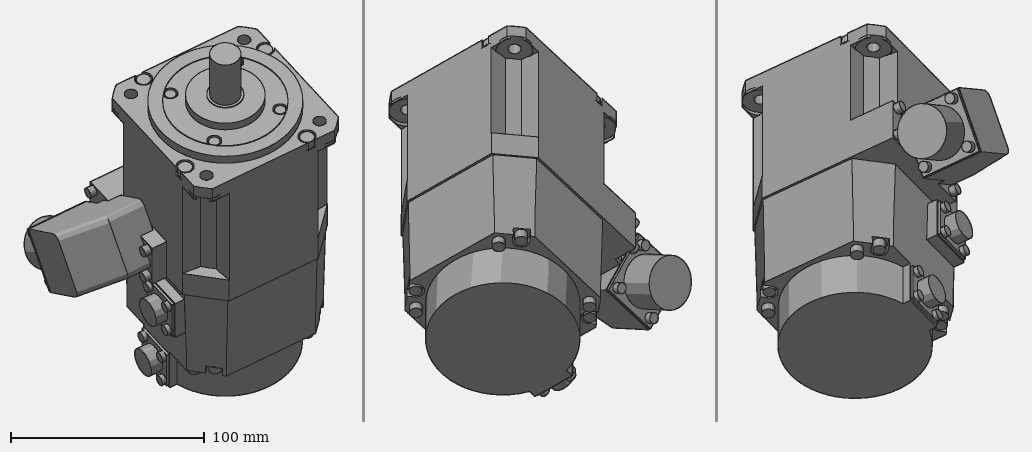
import cadquery as cq
import math

body_side = 89.9
half_side = body_side / 2
overlap = 1.0
clearance = 2.1

cap_top = 26.2
taper_bottom = 38.5
upper_body_bottom = 84.0
pocket_bottom = 99.5
pocket_top = 163.5
flange_top = 173.2
pilot_top = 178.3
boss_top = 182.8
collar_top = 183.2
shaft_top = 213.0

cap_radius = 79.9 / 2
pilot_radius = 40.0
cover_radius = 32.4
boss_radius = 41.1 / 2
collar_radius = 9.5
shaft_radius = 8.0

flange_corner_radius = 58.8
mount_offset = 35.1
mount_hole_radius = 3.5
spotface_radius = 9.5
spotface_height = 2.1

pocket_edge = 27.5
pocket_draft = 1.0
pocket_foot = 36.5
stator_radius = 44.7

lower_half_top = 43.9
lower_half_bottom = 42.5
lower_flat_half = 27.7

block_left = -half_side
block_right = 12.8
block_top = 110.3
block_front = -53.9
block_back = -pocket_edge
block_screw_inset = 3.5
block_screw_rise = 4.3

elbow_tilt = 35.3
elbow_width = 36.0
elbow_v = 88.5
elbow_back = -46.2
elbow_side = -58.0
elbow_front = elbow_side - elbow_width
elbow_start = 22.5
elbow_end = 65.4
bevel_start = -68.0
bevel_drop = 10.2
elbow_round = 4.3
neck_left = -32.5
plate_outer = 20.9
plate_inset = 0.5
plug_radius = 14.3
plug_end = 0.6

small_screw_radius = 5.8 / 2
screw_height = 3.8


def disc(radius, bottom, top, x=0, y=0):
    """Upright cylinder between two heights."""
    return cq.Workplane("XY").workplane(offset=bottom).center(x, y).circle(radius).extrude(top - bottom)


def box(x0, x1, y0, y1, z0, z1):
    """Box between two corners."""
    return cq.Workplane("XY").box(x1 - x0, y1 - y0, z1 - z0, centered=False).translate((x0, y0, z0))


def front_disc(radius, x, z, back, front):
    """Cylinder along Y, reaching from y = back out to y = front."""
    plane = cq.Workplane("XZ", origin=(x, back, z))
    return plane.circle(radius).extrude(back - front)


def around(shape):
    """Four copies of a shape, a quarter turn apart about the motor axis."""
    group = shape
    for turn in (90, 180, 270):
        group = group.union(shape.rotate((0, 0, 0), (0, 0, 1), turn))
    return group


def octagon(half, flat_half):
    """Corners of a square whose corners are cut off."""
    return [
        (flat_half, -half), (half, -flat_half), (half, flat_half), (flat_half, half),
        (-flat_half, half), (-half, flat_half), (-half, -flat_half), (-flat_half, -half),
    ]


def corner_pocket():
    """Corner cut that leaves the round stator standing between two drafted walls."""
    outer = half_side + clearance
    inner = pocket_edge + pocket_draft
    stator_start = math.sqrt(stator_radius**2 - inner**2)
    crest = stator_radius * math.sqrt(0.5)
    return (
        cq.Workplane("XY")
        .workplane(offset=pocket_bottom)
        .moveTo(pocket_edge, half_side)
        .lineTo(inner, pocket_foot)
        .lineTo(inner, stator_start)
        .threePointArc((crest, crest), (stator_start, inner))
        .lineTo(pocket_foot, inner)
        .lineTo(half_side, pocket_edge)
        .lineTo(outer, pocket_edge)
        .lineTo(outer, outer)
        .lineTo(pocket_edge, outer)
        .close()
        .extrude(pocket_top - pocket_bottom)
    )


def upper_body():
    """Square motor body with its mounting flange."""
    body = box(-half_side, half_side, -half_side, half_side, upper_body_bottom, flange_top)
    foot = (
        cq.Workplane("XY").workplane(offset=upper_body_bottom)
        .polyline(octagon(half_side, lower_flat_half)).close()
        .extrude(pocket_bottom - upper_body_bottom)
    )
    rounded = disc(flange_corner_radius, pocket_bottom, flange_top)
    body = body.intersect(rounded.union(foot))
    spotface = disc(spotface_radius, pocket_top, pocket_top + spotface_height, mount_offset, mount_offset)
    hole = disc(mount_hole_radius, pocket_top, flange_top, mount_offset, mount_offset)
    return body.cut(around(corner_pocket().union(spotface).union(hole)))


def flange_screws(body):
    """Sunk screws near the flange edges, their counterbores breaking through the sides."""
    x, y = 23.6, -40.7
    floor = 167.6
    counterbore_radius = 4.7
    head_radius = 3.8
    head_recess = 0.5
    body = body.cut(around(disc(counterbore_radius, floor, flange_top, x, y)))
    head = disc(head_radius, floor - overlap, flange_top - head_recess, x, y)
    return body.union(around(head))


def front_end():
    """Pilot with its recessed cover and screws, seal boss and shaft."""
    recess = 0.5
    cover_top = pilot_top - recess
    screw_place = 20.5
    sink = 2.5
    counterbore_radius = 3.8
    head_radius = 3.0
    end = disc(pilot_radius, flange_top - overlap, pilot_top)
    end = end.cut(disc(cover_radius, cover_top, pilot_top))
    counterbore = disc(counterbore_radius, cover_top - sink, cover_top, screw_place, screw_place)
    counterbore = counterbore.intersect(disc(cover_radius, 0, shaft_top))
    head = disc(head_radius, cover_top - sink - overlap, cover_top - recess, screw_place, screw_place)
    end = end.cut(around(counterbore)).union(around(head))
    end = end.union(disc(boss_radius, flange_top, boss_top))
    end = end.union(disc(collar_radius, flange_top, collar_top))
    return end.union(disc(shaft_radius, flange_top, shaft_top))


def lower_body():
    """Tapered brake housing, straight rim and round encoder cap."""
    rim = (
        cq.Workplane("XY").workplane(offset=cap_top)
        .polyline(octagon(lower_half_bottom, lower_flat_half)).close()
        .extrude(taper_bottom - cap_top)
    )
    taper = (
        cq.Workplane("XY").workplane(offset=taper_bottom)
        .polyline(octagon(lower_half_bottom, lower_flat_half)).close()
        .workplane(offset=upper_body_bottom - taper_bottom)
        .polyline(octagon(lower_half_top, lower_flat_half)).close()
        .loft(ruled=True)
    )
    return rim.union(taper).union(disc(cap_radius, 0, cap_top))


def rim_screws(body):
    """Screws in open notches on the rim corners, and heads hanging below the rim."""
    screw_x, screw_y = -29.6, -35.1
    notch_radius = 4.5
    notch_top = 31.3
    notch_reach = 12.8
    head_radius = 3.5
    slot = box(-notch_reach, 0, -notch_radius, notch_radius, cap_top, notch_top)
    slot = slot.union(disc(notch_radius, cap_top, notch_top))
    slot = slot.rotate((0, 0, 0), (0, 0, 1), 45).translate((screw_x, screw_y, 0))
    body = body.cut(around(slot))
    sunk_drop = 0.2
    sunk = disc(head_radius, cap_top - sunk_drop, notch_top + overlap, screw_x, screw_y)
    body = body.union(around(sunk))
    hanging_x, hanging_y = 26.0, -36.6
    hanging_bottom = 21.7
    hanging = disc(head_radius, hanging_bottom, cap_top + overlap, hanging_x, hanging_y)
    return body.union(around(hanging))


def cable_block():
    """Block that fills the front left corner, with four screws."""
    block = box(block_left, block_right, block_front, block_back, upper_body_bottom, block_top)
    for x in (block_left + block_screw_inset, block_right - block_screw_inset):
        for z in (upper_body_bottom + block_screw_rise, block_top - block_screw_inset):
            head = front_disc(small_screw_radius, x, z, block_front + overlap, block_front - screw_height)
            block = block.union(head)
    return block


def tilted(shape):
    """Turn a shape from the u-v layout (u along X, v along Z) into its place."""
    return shape.rotate((0, 0, 0), (0, 1, 0), -elbow_tilt)


def power_connector():
    """Beveled elbow housing, end plate, plate screws and round plug."""
    v_low = elbow_v - elbow_width / 2
    mid_y = (elbow_side + elbow_front) / 2
    housing = (
        cq.Workplane("XY").workplane(offset=v_low)
        .polyline([
            (elbow_start, elbow_back), (elbow_end, elbow_back), (elbow_end, bevel_start),
            (elbow_end - bevel_drop, elbow_front), (elbow_start, elbow_front),
        ])
        .close()
        .extrude(elbow_width)
    )
    far_end = cq.selectors.BoxSelector(
        (elbow_end - bevel_drop, elbow_front, v_low - clearance),
        (elbow_end + clearance, elbow_back, v_low + elbow_width + clearance),
    )
    housing = housing.edges("#Z").edges(far_end).fillet(elbow_round)
    housing = tilted(housing)

    far = 127.8
    neck_side = box(-far, neck_left, elbow_side, 0, 0, far)
    neck_under = box(-far, far, elbow_side, 0, 0, upper_body_bottom)
    housing = housing.cut(neck_side).cut(neck_under)

    plate_half = elbow_width / 2 - plate_inset
    plate = box(plate_outer, elbow_start + overlap, mid_y - plate_half, mid_y + plate_half,
                elbow_v - plate_half, elbow_v + plate_half)
    outlet = cq.Workplane("YZ", origin=(plug_end, mid_y, elbow_v))
    fittings = plate.union(outlet.circle(plug_radius).extrude(plate_outer + overlap - plug_end))
    screw_pitch = 27.0
    screws = (
        cq.Workplane("YZ", origin=(plate_outer - screw_height, mid_y, elbow_v))
        .rect(screw_pitch, screw_pitch, forConstruction=True)
        .vertices()
        .circle(small_screw_radius)
        .extrude(screw_height + overlap)
    )
    return housing.union(tilted(fittings.union(screws)))


def signal_connector(x, z, seat, plate_width, plate_height):
    """Thin plate with four screws and a round plug, facing -Y on a pad whose face is y = seat."""
    plate_thickness = 1.5
    plug_length = 7.0
    head_height = 2.5
    signal_plug_radius = 7.9
    plate_front = seat - plate_thickness
    plug_front = plate_front - plug_length
    screw_front = plate_front - head_height
    screw_pitch = 17.3
    back = seat + overlap
    connector = box(x - plate_width / 2, x + plate_width / 2, plate_front, back,
                    z - plate_height / 2, z + plate_height / 2)
    connector = connector.union(front_disc(signal_plug_radius, x, z, back, plug_front))
    for dx in (-screw_pitch / 2, screw_pitch / 2):
        for dz in (-screw_pitch / 2, screw_pitch / 2):
            connector = connector.union(front_disc(small_screw_radius, x + dx, z + dz, back, screw_front))
    return connector


def brake_connector():
    """Signal connector on a square pad on the tapered housing."""
    x, z = 15.0, 66.9
    seat = -49.5
    half_pad = 12.5
    plate_side = 23.2
    pad = box(x - half_pad, x + half_pad, seat, overlap - lower_half_bottom, z - half_pad, z + half_pad)
    return pad.union(signal_connector(x, z, seat, plate_side, plate_side))


def encoder_connector():
    """Signal connector on a pad as tall as the cap and flush with the rim above."""
    seat = -lower_half_bottom
    half_pad = 12.1
    plate_width = 23.2
    plate_height = 22.8
    pad = box(-half_pad, half_pad, seat, -cap_radius / 2, 0, cap_top)
    return pad.union(signal_connector(0, cap_top / 2, seat, plate_width, plate_height))


result = flange_screws(upper_body())
result = result.union(rim_screws(lower_body()))
for piece in (front_end(), cable_block(), power_connector(), brake_connector(), encoder_connector()):
    result = result.union(piece)